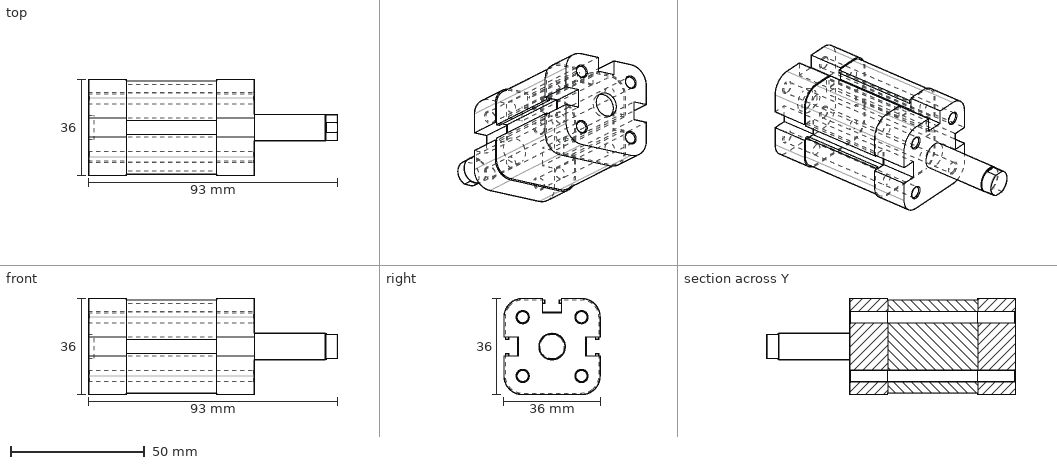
import cadquery as cq

total_length = 93.0
body_length = 61.9
cap_length = 14.1
cap_width = 36.0
cap_corner_radius = 7.0
barrel_inset = 0.6

slot_width = 7.0
cap_slot_depth = 5.5
barrel_floor_rise = 0.4
lip_overhang = 0.8
lip_thickness = 1.3

screw_spacing = 21.95
screw_diameter = 4.2
screw_chamfer = 0.4

recess_diameter = 9.0
recess_depth = 2.0

rod_diameter = 9.95
rod_shoulder_x = 88.35
bevel_length = 0.3
bevel_height = 0.1
flat_start_x = 88.8
flats_across = 9.0

barrel_length = body_length - 2 * cap_length
barrel_width = cap_width - 2 * barrel_inset
barrel_corner_radius = cap_corner_radius - barrel_inset
barrel_slot_depth = cap_slot_depth - barrel_inset - barrel_floor_rise
front_cap_x = cap_length + barrel_length
slot_angles = (-90, 0, 90)


def rounded_block(start_x, length, width, corner_radius):
    """Square bar along X with rounded long edges."""
    return (
        cq.Workplane("YZ", origin=(start_x, 0, 0))
        .rect(width, width)
        .extrude(length)
        .edges("|X")
        .fillet(corner_radius)
    )


def cut_side_slots(body, start_x, length, groove_width, top, bottom):
    """Cut a groove between two heights above the X axis on each slotted side."""
    groove = cq.Workplane("XY", origin=(start_x, 0, bottom)).box(
        length, groove_width, top - bottom, centered=(False, True, False)
    )
    for angle in slot_angles:
        body = body.cut(groove.rotate((0, 0, 0), (1, 0, 0), angle))
    return body


def cut_screw_holes(body, start_x, length):
    """Cut the four corner screw holes along X through one body."""
    holes = (
        cq.Workplane("YZ", origin=(start_x, 0, 0))
        .rect(screw_spacing, screw_spacing, forConstruction=True)
        .vertices()
        .circle(screw_diameter / 2)
        .extrude(length)
    )
    return body.cut(holes)


def make_end_cap(start_x, outer_face):
    """End cap with plain slots and screw holes chamfered on its outer face."""
    cap = rounded_block(start_x, cap_length, cap_width, cap_corner_radius)
    skin = cap_width / 2
    cap = cut_side_slots(cap, start_x, cap_length, slot_width, skin, skin - cap_slot_depth)
    cap = cut_screw_holes(cap, start_x, cap_length)
    hole_rims = cap.faces(outer_face).edges("%CIRCLE").edges(cq.selectors.RadiusNthSelector(0))
    return hole_rims.chamfer(screw_chamfer)


def make_rear_cap():
    recess = cq.Workplane("YZ").circle(recess_diameter / 2).extrude(recess_depth)
    return make_end_cap(0, "<X").cut(recess)


def make_front_cap():
    return make_end_cap(front_cap_x, ">X")


def make_barrel():
    """Extruded barrel whose slots are narrowed at the mouth by two lips."""
    barrel = rounded_block(cap_length, barrel_length, barrel_width, barrel_corner_radius)
    skin = barrel_width / 2
    lip_underside = skin - lip_thickness
    mouth_width = slot_width - 2 * lip_overhang
    barrel = cut_side_slots(barrel, cap_length, barrel_length, mouth_width, skin, lip_underside)
    floor = skin - barrel_slot_depth
    barrel = cut_side_slots(barrel, cap_length, barrel_length, slot_width, lip_underside, floor)
    return cut_screw_holes(barrel, cap_length, barrel_length)


def make_rod():
    """Rod standing on the front cap, with a stepped, bevelled tip and two wrench flats."""
    rod_radius = rod_diameter / 2
    tip_radius = rod_radius - bevel_height
    rod = (
        cq.Workplane("XZ")
        .moveTo(body_length, 0)
        .lineTo(body_length, rod_radius)
        .lineTo(rod_shoulder_x, rod_radius)
        .lineTo(rod_shoulder_x + bevel_length, tip_radius)
        .lineTo(total_length - bevel_length, tip_radius)
        .lineTo(total_length, tip_radius - bevel_height)
        .lineTo(total_length, 0)
        .close()
        .revolve(360, (0, 0, 0), (1, 0, 0))
    )
    for side in (1, -1):
        cut_center_z = side * (flats_across + rod_radius) / 2
        flat_cut = cq.Workplane("XY", origin=(flat_start_x, 0, cut_center_z)).box(
            total_length - flat_start_x, rod_diameter, rod_radius, centered=(False, True, True)
        )
        rod = rod.cut(flat_cut)
    return rod


rear_cap = make_rear_cap()
barrel = make_barrel()
front_cap = make_front_cap()
rod = make_rod()

result = cq.Compound.makeCompound([rear_cap.val(), barrel.val(), front_cap.val(), rod.val()])